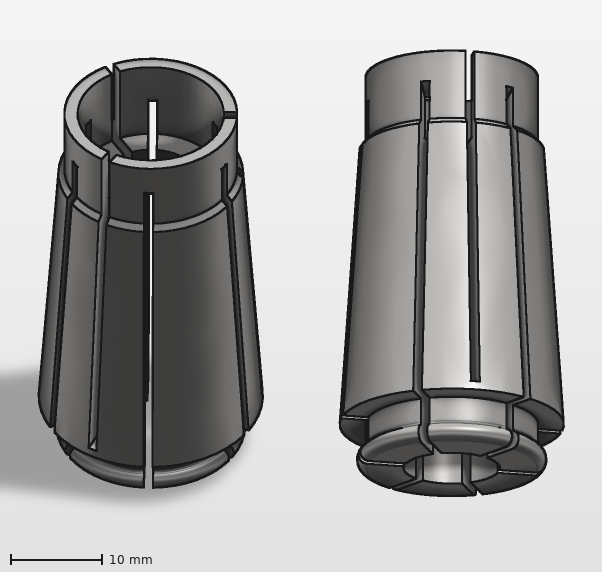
import cadquery as cq
import math

total_height = 45.1
cone_bottom = 5.05
cone_top = 36.65
shoulder_top = 37.3
counterbore_floor = 35.65

neck_radius = 9.47
cone_base_radius = 12.28
cone_top_radius = neck_radius + shoulder_top - cone_top
bore_radius = 5.26
counterbore_radius = 8.0

rim_radius = 10.37
bead_round = 1.0
bead_fillet = 0.4
bead_centre_radius = rim_radius - bead_round
fillet_offset = neck_radius + bead_fillet - bead_centre_radius
fillet_rise = math.sqrt((bead_round + bead_fillet) ** 2 - fillet_offset**2)
fillet_top = bead_round + fillet_rise
bead_share = bead_round / (bead_round + bead_fillet)
bead_end = (bead_centre_radius + fillet_offset * bead_share, bead_round + fillet_rise * bead_share)

slot_width = 1.0
lower_slot_count = 6
upper_slot_count = 3
lower_slot_start_angle = 30
upper_slot_start_angle = 60
slot_inner_reach = 4.0
slot_outer_reach = 13.0
slot_overrun = 1.0

saw_radius = 22.0
lower_saw_offset = 23.7
upper_saw_offset = 16.3
lower_slot_end = 41.7
upper_slot_end = 6.0


def make_body():
    """Revolve the sleeve: bead, neck, long cone, shoulder and counterbored mouth."""
    profile = (
        cq.Workplane("XZ")
        .moveTo(bore_radius, 0)
        .lineTo(bead_centre_radius, 0)
        .threePointArc((rim_radius, bead_round), bead_end)
        .tangentArcPoint((neck_radius, fillet_top), relative=False)
        .lineTo(neck_radius, cone_bottom)
        .lineTo(cone_base_radius, cone_bottom)
        .lineTo(cone_top_radius, cone_top)
        .lineTo(neck_radius, shoulder_top)
        .lineTo(neck_radius, total_height)
        .lineTo(counterbore_radius, total_height)
        .lineTo(counterbore_radius, counterbore_floor)
        .lineTo(bore_radius, counterbore_floor)
        .close()
    )
    return profile.revolve(360, (0, 0, 0), (0, 1, 0))


def make_slot(open_height, end_height, end_radius, saw_offset):
    """Radial slot along +X from open_height to an arc through (end_radius, end_height)."""
    direction = math.copysign(1, end_height - open_height)

    def disc_rise(radius):
        return math.sqrt(saw_radius**2 - (radius - saw_offset) ** 2)

    def arc_point(radius):
        return radius, end_height + direction * (disc_rise(radius) - disc_rise(end_radius))

    middle_reach = (slot_inner_reach + slot_outer_reach) / 2
    return (
        cq.Workplane("XZ")
        .moveTo(slot_inner_reach, open_height)
        .lineTo(*arc_point(slot_inner_reach))
        .threePointArc(arc_point(middle_reach), arc_point(slot_outer_reach))
        .lineTo(slot_outer_reach, open_height)
        .close()
        .extrude(slot_width / 2, both=True)
    )


def cut_slots(body, slot, count, start_angle):
    """Cut evenly spaced copies of a slot around the axis."""
    for index in range(count):
        angle = start_angle + index * 360 / count
        body = body.cut(slot.rotate((0, 0, 0), (0, 0, 1), angle))
    return body


lower_slot = make_slot(-slot_overrun, lower_slot_end, neck_radius, lower_saw_offset)
upper_slot = make_slot(
    total_height + slot_overrun, upper_slot_end, cone_base_radius, upper_saw_offset
)

body = make_body()
body = cut_slots(body, lower_slot, lower_slot_count, lower_slot_start_angle)
result = cut_slots(body, upper_slot, upper_slot_count, upper_slot_start_angle)